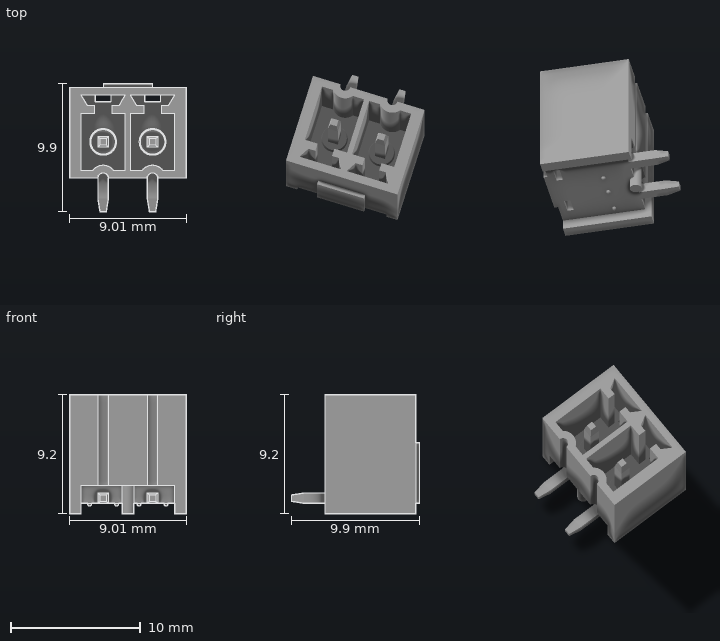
import cadquery as cq

pitch = 3.81
contact_offset = -0.01
contact_xs = (contact_offset - pitch / 2, contact_offset + pitch / 2)
contact_y = 2.8

end_margin = 2.6
housing_width = pitch + 2 * end_margin
housing_depth = 7.0
housing_height = 9.2
foot_width = 0.9

underside_z = 0.8
floor_z = 2.2

cavity_width = 3.4
cavity_front_y = 0.6
cavity_back_y = 5.0
neck_width = 1.35
dovetail_front_y = 5.6
dovetail_back_y = 6.4
dovetail_front_width = 2.45
window_width = 1.2
window_depth = 0.5

groove_radius = 0.4
rib_radius = 1.0

recess_depth = 0.5
post_diameter = 0.9
post_y = post_diameter / 2

pad_width = 3.8
pad_thickness = 0.3
pad_height = 4.7

collar_base_radius = 1.03
collar_top_radius = 0.95
collar_height = 0.3
bump_diameter = 0.3
bump_spacing = 2.08
bump_drop = 0.2

wire_size = 0.82
tip_size = 0.5
taper_length = 1.0
contact_top_z = 8.2
contact_reach = 2.6


def block(x_size, y_min, y_max, z_min, z_max):
    """Box centred on x = 0."""
    return (
        cq.Workplane("XY")
        .box(x_size, y_max - y_min, z_max - z_min, centered=(True, False, False))
        .translate((0, y_min, z_min))
    )


def upright_cylinder(radius, y, z_min, z_max):
    """Vertical cylinder on x = 0."""
    return cq.Workplane("XY", origin=(0, y, z_min)).circle(radius).extrude(z_max - z_min)


def make_cavity():
    """Plug cavity with a neck and dovetail slot behind it, and a rib left around the groove."""
    main = block(cavity_width, cavity_front_y, cavity_back_y, floor_z, housing_height)
    neck = block(neck_width, cavity_back_y, dovetail_front_y, floor_z, housing_height)
    dovetail = (
        cq.Workplane("XY", origin=(0, 0, floor_z))
        .moveTo(-dovetail_front_width / 2, dovetail_front_y)
        .lineTo(dovetail_front_width / 2, dovetail_front_y)
        .lineTo(cavity_width / 2, dovetail_back_y)
        .lineTo(-cavity_width / 2, dovetail_back_y)
        .close()
        .extrude(housing_height - floor_z)
    )
    rib = upright_cylinder(rib_radius, 0, floor_z, housing_height)
    return main.union(neck).union(dovetail).cut(rib)


def make_collar():
    """Tapered round collar standing on the cavity floor around the contact."""
    return (
        cq.Workplane("XY", origin=(0, contact_y, floor_z))
        .circle(collar_base_radius)
        .workplane(offset=collar_height)
        .circle(collar_top_radius)
        .loft()
    )


def make_bump():
    """Round-ended standoff below the underside."""
    bump_radius = bump_diameter / 2
    dome_z = underside_z - bump_drop + bump_radius
    dome = cq.Workplane("XY", origin=(0, contact_y, dome_z)).sphere(bump_radius)
    return upright_cylinder(bump_radius, contact_y, dome_z, floor_z).union(dome)


def make_contact():
    """Right-angle contact: upright mating pin and a solder lead running forward."""
    half = wire_size / 2
    pin_straight_top = contact_top_z - taper_length
    lead_straight_end = -contact_reach + taper_length
    lead_z = underside_z + half
    upright = block(wire_size, contact_y - half, contact_y + half, underside_z, pin_straight_top)
    upright_tip = (
        cq.Workplane("XY", origin=(0, contact_y, pin_straight_top))
        .rect(wire_size, wire_size)
        .workplane(offset=taper_length)
        .rect(tip_size, tip_size)
        .loft()
    )
    lead = block(wire_size, lead_straight_end, contact_y, underside_z, underside_z + wire_size)
    lead_tip = (
        cq.Workplane("XZ", origin=(0, lead_straight_end, lead_z))
        .rect(wire_size, wire_size)
        .workplane(offset=taper_length)
        .rect(tip_size, tip_size)
        .loft()
    )
    return upright.union(lead).union(upright_tip).union(lead_tip)


def make_housing():
    """Open-topped box on two end feet, with two cavities and pockets for the contacts."""
    inner_width = housing_width - 2 * foot_width
    housing = block(housing_width, 0, housing_depth, 0, housing_height)
    housing = housing.cut(block(inner_width, 0, housing_depth, 0, underside_z))
    housing = housing.cut(block(inner_width, 0, recess_depth, 0, floor_z))
    housing = housing.union(upright_cylinder(post_diameter / 2, post_y, 0, floor_z))
    pad_back_y = housing_depth + pad_thickness
    pad_top_z = underside_z + pad_height
    housing = housing.union(block(pad_width, housing_depth, pad_back_y, underside_z, pad_top_z))

    cavity = make_cavity()
    window = block(window_width, dovetail_back_y - window_depth, dovetail_back_y, 0, floor_z)
    groove = upright_cylinder(groove_radius, 0, floor_z, housing_height)
    for x in contact_xs:
        housing = housing.cut(cavity.translate((x, 0, 0)))
        housing = housing.cut(window.translate((x, 0, 0)))
        housing = housing.cut(groove.translate((x, 0, 0)))
        housing = housing.union(make_collar().translate((x, 0, 0)))
        for side in (-1, 1):
            housing = housing.union(make_bump().translate((x + side * bump_spacing / 2, 0, 0)))
        housing = housing.cut(make_contact().translate((x, 0, 0)))
    return housing


housing = make_housing()
contacts = [make_contact().translate((x, 0, 0)) for x in contact_xs]

result = cq.Compound.makeCompound([housing.val(), *[contact.val() for contact in contacts]])